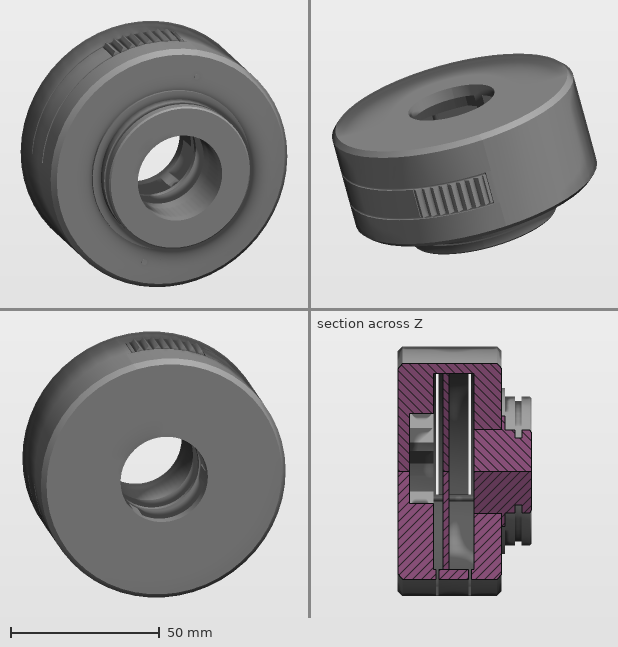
import cadquery as cq
import math

outer_radius = 42.0
bore_radius = 15.0
housing_length = 35.0
total_length = 45.0
edge_chamfer = 1.6

front_block_length = 12.0
front_wall = 3.95
back_wall_start = 25.5
cavity_radius = 38.9

pocket_floor_distance = 22.45
pocket_floor_angle = -47.0
pocket_reach = 28.4
rib_width = 3.1
rib_centers = (-5.25, 9.8)

straight_split = 26.4
split_slope = 36.0
split_reach = 30.1

tongue_start = 13.8
tongue_width = 10.1
slot_width = 0.8
slot_end_height = 3.3
tongue_tip_offset = 8.3
tip_gap = 0.2
tooth_count = 8
tooth_pitch_angle = 4.2
first_tooth_angle = 82.4
tooth_tip_radius = 43.0
end_tooth_radius = 42.3
end_tooth_angle = 79.8

hub_radius = 25.0
collar_radius = 27.95
collar_length = 1.0
groove_radius = 23.65
groove_start = 39.5
groove_width = 2.15
hub_chamfer = 0.5

ring_start = 15.1
ring_length = 2.1

pin_radius = 0.95
pin_offset = 9.3
pin_height = 31.8
pin_stand_out = 0.3

window_start = tongue_start - slot_width
window_width = tongue_width + 2 * slot_width
root_angle = 180 - math.degrees(math.asin(slot_end_height / outer_radius))
tip_angle = math.degrees(math.acos(tongue_tip_offset / outer_radius))
lug_angle = math.degrees(math.acos((tongue_tip_offset + tip_gap) / outer_radius))
grip_end = first_tooth_angle + (tooth_count - 0.5) * tooth_pitch_angle
valley_radius = tooth_tip_radius * (1 - math.sin(math.radians(tooth_pitch_angle / 2)))
window_inner_radius = cavity_radius - 0.9
clear_radius = outer_radius + 1.7
lug_overlap = 20.0


def cylinder(radius, start, length):
    return cq.Workplane("YZ", origin=(start, 0, 0)).circle(radius).extrude(length)


def tube(outer, inner, start, length):
    return cylinder(outer, start, length).cut(cylinder(inner, start, length))


def polar(radius, angle):
    turn = math.radians(angle)
    return (radius * math.cos(turn), radius * math.sin(turn))


def opposite(body):
    """The same body turned half a turn about the common axis."""
    return body.rotate((0, 0, 0), (1, 0, 0), 180)


def arc_band(from_angle, to_angle, inner, outer, start, length):
    """Piece of a tube between two angles."""
    middle = (from_angle + to_angle) / 2
    return (
        cq.Workplane("YZ", origin=(start, 0, 0))
        .moveTo(*polar(inner, from_angle))
        .lineTo(*polar(outer, from_angle))
        .threePointArc(polar(outer, middle), polar(outer, to_angle))
        .lineTo(*polar(inner, to_angle))
        .threePointArc(polar(inner, middle), polar(inner, from_angle))
        .close()
        .extrude(length)
    )


def near_side():
    """Space on the -Y side of the stepped parting line."""
    slope = math.radians(split_slope)
    end_y = split_reach * math.sin(slope)
    end_z = straight_split + split_reach * math.cos(slope)
    far_y = -2 * outer_radius
    return (
        cq.Workplane("YZ")
        .polyline([
            (0, -straight_split),
            (0, straight_split),
            (end_y, end_z),
            (far_y, end_z),
            (far_y, -end_z),
            (-end_y, -end_z),
        ])
        .close()
        .extrude(total_length)
    )


def front_pocket():
    """Pocket on the +Y side; its ribs run square to the slanted part of the parting line."""
    depth = front_block_length - front_wall
    pocket = tube(pocket_reach, bore_radius, front_wall, depth).cut(near_side())
    inner_side = (
        cq.Workplane("YZ", origin=(front_wall, 0, 0))
        .center(pocket_floor_distance - pocket_reach, 0)
        .rect(2 * pocket_reach, 2 * pocket_reach)
        .extrude(depth)
        .rotate((0, 0, 0), (1, 0, 0), pocket_floor_angle)
    )
    pocket = pocket.intersect(inner_side)
    for rib_center in rib_centers:
        rib = (
            cq.Workplane("YZ", origin=(front_wall, 0, 0))
            .center(pocket_reach / 2, rib_center)
            .rect(pocket_reach, rib_width)
            .extrude(depth)
            .rotate((0, 0, 0), (1, 0, 0), -split_slope)
        )
        pocket = pocket.cut(rib)
    return pocket


def housing_shell():
    shell = cylinder(outer_radius, 0, housing_length).edges().chamfer(edge_chamfer)
    shell = shell.cut(cylinder(bore_radius, 0, front_block_length))
    shell = shell.cut(front_pocket()).cut(opposite(front_pocket()))
    cavity_length = back_wall_start - front_block_length
    shell = shell.cut(cylinder(cavity_radius, front_block_length, cavity_length))
    return shell.cut(cylinder(hub_radius, back_wall_start, housing_length - back_wall_start))


def window():
    """Opening of the tongue and its slots, from the lug to the tongue root."""
    return arc_band(lug_angle, root_angle, window_inner_radius, clear_radius, window_start, window_width)


def lug():
    """Stretch between the stepped parting line and the tongue tip, which the opposite half fills."""
    band = arc_band(
        lug_angle - lug_overlap, lug_angle, window_inner_radius, clear_radius, window_start, window_width
    )
    return band.intersect(near_side())


def grip():
    """Free end of the tongue with sharp right-angled teeth and a low blunt tooth at its tip."""
    half_pitch = tooth_pitch_angle / 2
    outline = [
        polar(outer_radius, tip_angle),
        polar(end_tooth_radius, end_tooth_angle),
        polar(valley_radius, first_tooth_angle - half_pitch),
    ]
    for index in range(tooth_count):
        tip = first_tooth_angle + index * tooth_pitch_angle
        outline.append(polar(tooth_tip_radius, tip))
        outline.append(polar(valley_radius, tip + half_pitch))
    middle = (tip_angle + grip_end) / 2
    return (
        cq.Workplane("YZ", origin=(tongue_start, 0, 0))
        .polyline(outline)
        .lineTo(*polar(cavity_radius, grip_end))
        .threePointArc(polar(cavity_radius, middle), polar(cavity_radius, tip_angle))
        .close()
        .extrude(tongue_width)
    )


def tongue_arm():
    """Space of the smooth arm between the tongue root and the grip."""
    return arc_band(grip_end, root_angle, window_inner_radius, clear_radius, tongue_start, tongue_width)


def housing_half():
    """-Y half: spring tongue in its window, and a lug that reaches into the other half."""
    opening = window().cut(tongue_arm())
    territory = near_side().cut(lug()).cut(opening).union(opposite(lug()))
    half = housing_shell().intersect(territory)
    half = half.union(grip())
    return half.cut(latch_pin())


def hub_half():
    hub = cylinder(hub_radius, back_wall_start, total_length - back_wall_start)
    hub = hub.faces(">X").edges().chamfer(hub_chamfer)
    hub = hub.union(cylinder(collar_radius, housing_length, collar_length))
    hub = hub.cut(tube(clear_radius, groove_radius, groove_start, groove_width))
    hub = hub.cut(cylinder(bore_radius, back_wall_start, total_length - back_wall_start))
    return hub.intersect(near_side())


def ring_half():
    ring = tube(cavity_radius, bore_radius, ring_start, ring_length).intersect(near_side())
    return ring.cut(latch_pin()).cut(opposite(latch_pin()))


def latch_pin():
    length = housing_length + pin_stand_out - front_block_length
    return (
        cq.Workplane("YZ", origin=(front_block_length, 0, 0))
        .center(-pin_offset, -pin_height)
        .circle(pin_radius)
        .extrude(length)
    )


bodies = []
for make_body in (housing_half, hub_half, ring_half, latch_pin):
    body = make_body()
    bodies.append(body.solids().val())
    bodies.append(opposite(body).solids().val())

result = cq.Compound.makeCompound(bodies)